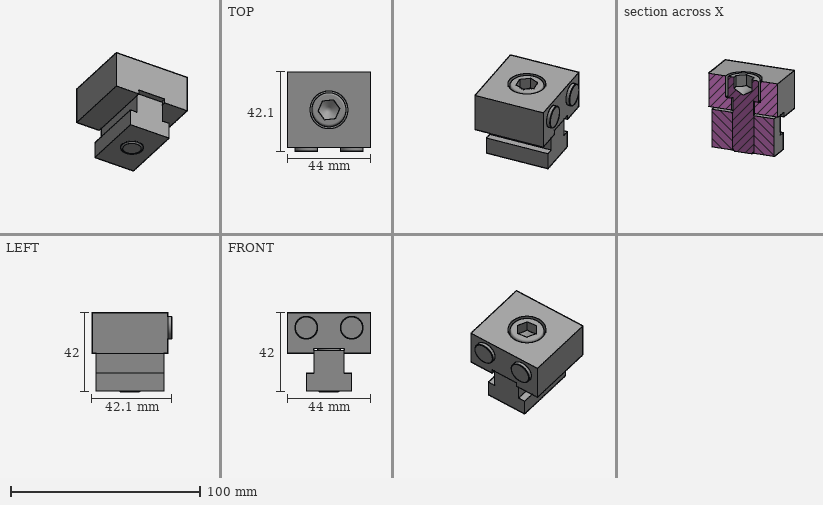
import cadquery as cq
import math


BLOCK_WIDTH = 44.0
BLOCK_LENGTH = 40.0
BLOCK_HEIGHT = 21.5
SLOT_DEPTH = 2.5
COUNTERBORE_DIAMETER = 20.0
SCREW_CLEARANCE_DIAMETER = 13.0

NECK_WIDTH = 16.0
FLANGE_WIDTH = 24.0
NUT_LENGTH = 36.0
NUT_HEIGHT = 21.5
FLANGE_HEIGHT = 9.5
NUT_TOP_Z = -20.0
NUT_BOTTOM_Z = NUT_TOP_Z - NUT_HEIGHT

SCREW_DIAMETER = 12.0
HEAD_DIAMETER = 18.0
HEAD_HEIGHT = SCREW_DIAMETER
HEAD_EDGE_RADIUS = 1.2
HEAD_TOP_Z = 0.0
HEAD_SEAT_Z = HEAD_TOP_Z - HEAD_HEIGHT
SHANK_LENGTH = 30.0
SCREW_TIP_Z = HEAD_SEAT_Z - SHANK_LENGTH
TIP_DIAMETER = 9.8
TIP_CHAMFER = (SCREW_DIAMETER - TIP_DIAMETER) / 2
SOCKET_ACROSS_FLATS = 10.0
SOCKET_CORNER_DIAMETER = SOCKET_ACROSS_FLATS / math.cos(math.pi / 6)
SOCKET_DEPTH = 6.0
SOCKET_TURN = 6.0
SOCKET_CONE_ANGLE = 120.0

PIN_DIAMETER = 12.0
PIN_SPACING = 24.0
PIN_Z = -8.0
PIN_PROTRUSION = 2.1
PIN_ENGAGEMENT = 8.0
PIN_CHAMFER = 0.25

FRONT_Y = -BLOCK_LENGTH / 2
PIN_X_POSITIONS = (-PIN_SPACING / 2, PIN_SPACING / 2)


def upright_cylinder(diameter, bottom_z, top_z):
    """Cylinder on the Z axis between two heights."""
    return cq.Workplane("XY", origin=(0, 0, bottom_z)).circle(diameter / 2).extrude(top_z - bottom_z)


def upright_box(width, length, bottom_z, top_z):
    """Box centred on the Z axis between two heights."""
    return cq.Workplane("XY", origin=(0, 0, bottom_z)).rect(width, length).extrude(top_z - bottom_z)


def pin_cylinder(x, protrusion):
    """Cylinder along Y from the closed end of a pin hole to a distance in front of the block."""
    start = cq.Workplane("XZ", origin=(x, FRONT_Y + PIN_ENGAGEMENT, PIN_Z))
    return start.circle(PIN_DIAMETER / 2).extrude(PIN_ENGAGEMENT + protrusion)


def make_pin(x):
    """Pin with a chamfered front end."""
    return pin_cylinder(x, PIN_PROTRUSION).faces("<Y").chamfer(PIN_CHAMFER)


def make_block():
    """Block with a counterbored screw hole, a slot for the nut's neck and two blind pin holes."""
    block = upright_box(BLOCK_WIDTH, BLOCK_LENGTH, -BLOCK_HEIGHT, 0)
    block = block.cut(upright_box(NECK_WIDTH, BLOCK_LENGTH, -BLOCK_HEIGHT, SLOT_DEPTH - BLOCK_HEIGHT))
    block = block.cut(upright_cylinder(SCREW_CLEARANCE_DIAMETER, -BLOCK_HEIGHT, 0))
    block = block.cut(upright_cylinder(COUNTERBORE_DIAMETER, HEAD_SEAT_Z, 0))
    for x in PIN_X_POSITIONS:
        block = block.cut(pin_cylinder(x, 0))
    return block


def make_nut():
    """T-shaped nut with the screw's hole right through it."""
    neck = upright_box(NECK_WIDTH, NUT_LENGTH, NUT_BOTTOM_Z, NUT_TOP_Z)
    flange = upright_box(FLANGE_WIDTH, NUT_LENGTH, NUT_BOTTOM_Z, NUT_BOTTOM_Z + FLANGE_HEIGHT)
    return neck.union(flange).cut(upright_cylinder(SCREW_DIAMETER, NUT_BOTTOM_Z, NUT_TOP_Z))


def make_socket():
    """Hexagonal socket whose floor is a cone reaching out to the hexagon's corners."""
    corner_radius = SOCKET_CORNER_DIAMETER / 2
    cone_height = corner_radius / math.tan(math.radians(SOCKET_CONE_ANGLE / 2))
    drill = (
        cq.Workplane("XZ", origin=(0, 0, HEAD_TOP_Z))
        .moveTo(0, 0)
        .lineTo(corner_radius, 0)
        .lineTo(corner_radius, -SOCKET_DEPTH)
        .lineTo(0, -SOCKET_DEPTH - cone_height)
        .close()
        .revolve(360, (0, 0), (0, 1))
    )
    hexagon = (
        cq.Workplane("XY", origin=(0, 0, HEAD_TOP_Z))
        .polygon(6, SOCKET_CORNER_DIAMETER)
        .extrude(-SOCKET_DEPTH - cone_height)
        .rotate((0, 0, 0), (0, 0, 1), SOCKET_TURN)
    )
    return hexagon.intersect(drill)


def make_screw():
    """Socket head screw with a rounded head edge and a chamfered tip."""
    head = upright_cylinder(HEAD_DIAMETER, HEAD_SEAT_Z, HEAD_TOP_Z)
    head = head.faces(">Z").edges().fillet(HEAD_EDGE_RADIUS)
    shank = upright_cylinder(SCREW_DIAMETER, SCREW_TIP_Z, HEAD_SEAT_Z)
    shank = shank.faces("<Z").chamfer(TIP_CHAMFER)
    return head.union(shank).cut(make_socket())


block = make_block()
nut = make_nut()
screw = make_screw()
pins = [make_pin(x) for x in PIN_X_POSITIONS]

result = cq.Compound.makeCompound(
    [block.val(), nut.val(), screw.val(), *[pin.val() for pin in pins]]
)